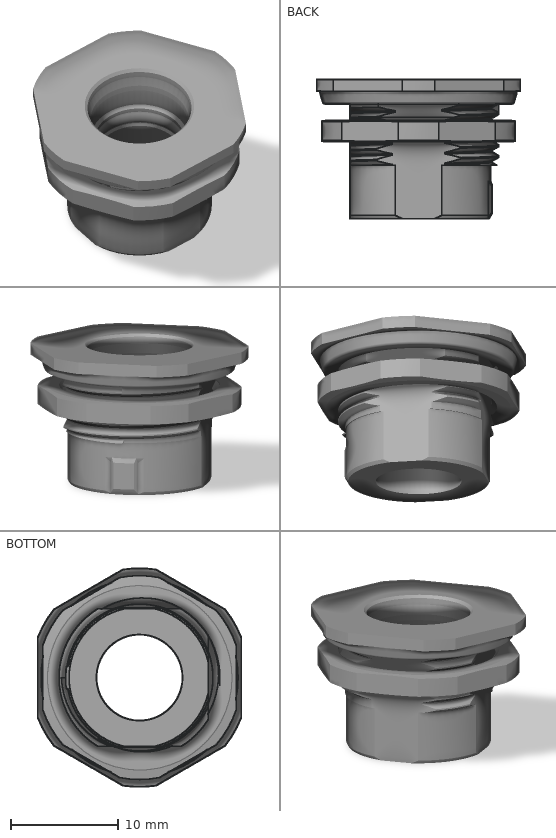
import cadquery as cq
import math


TOTAL_HEIGHT = 13.0

FLANGE_THICKNESS = 1.1
FLANGE_ACROSS_FLATS = 19.0
FLANGE_CORNER_RADIUS = 10.2
FLANGE_BOTTOM = TOTAL_HEIGHT - FLANGE_THICKNESS

BARREL_RADIUS = 6.75
BARREL_HEIGHT = 5.0
END_RADIUS = 6.565
END_CONE_SLOPE = math.tan(math.radians(30))

PITCH = 1.0
CREST_RADIUS = 7.5
SHARP_HEIGHT = PITCH * math.sqrt(3) / 2
THREAD_DEPTH = SHARP_HEIGHT * 3 / 4
ROOT_RADIUS = CREST_RADIUS - THREAD_DEPTH
CREST_WIDTH = PITCH / 8
FLANK_SLOPE = math.tan(math.radians(30))
ROOT_WIDTH = PITCH - CREST_WIDTH - 2 * THREAD_DEPTH * FLANK_SLOPE
GROOVE_OVERSHOOT = 0.05
GROOVE_END_ANGLE = 180
GROOVE_END_HEIGHT = 10.31
GROOVE_TURNS = 6

RELIEF_TURNS = 0.5
RELIEF_END_ANGLE = GROOVE_END_ANGLE + 360 * RELIEF_TURNS
RELIEF_END_HEIGHT = GROOVE_END_HEIGHT - (GROOVE_TURNS - 1 - RELIEF_TURNS) * PITCH

FLAT_DISTANCE = 6.4
NECK_FLAT_DISTANCE = 6.5
NECK_FLAT_BOTTOM = 9.45

KEY_TOP = 3.5
KEY_TAPER_HEIGHT = 0.43
KEY_RADIUS = 6.9
KEY_BASE_HALF_WIDTH = 1.32
RECESS_HALF_WIDTH = 1.84
RECESS_FLAT = math.sqrt(BARREL_RADIUS**2 - RECESS_HALF_WIDTH**2)
RECESS_TAPER_DEPTH = 0.13

BORE_MOUTH_RADIUS = 5.1
BORE_MOUTH_CHAMFER = 0.25
BORE_CONE_TOP_RADIUS = 4.81
BORE_CONE_TOP = 12.15
BORE_CONE_BOTTOM_RADIUS = 4.57
BORE_CONE_BOTTOM = 11.26
UPPER_BORE_RADIUS = 4.52
UPPER_BORE_TOP = 10.7
UPPER_BORE_BOTTOM = 8.9
SEAT_RADIUS = 4.2
SEAT_TOP = 8.68
LIP_TOP = 8.27
LIP_BOTTOM = 6.97
SEAT_BOTTOM = 6.85
THROUGH_RADIUS = 4.0

GASKET_HEIGHT = 1.2
GASKET_TOP_RADIUS = 9.24
GASKET_BOTTOM_RADIUS = 8.88
GASKET_TOP_FILLET = 0.13
GASKET_BOTTOM_FILLET = 0.25
GASKET_BOTTOM = FLANGE_BOTTOM - GASKET_HEIGHT

NUT_THICKNESS = 2.0
NUT_BOTTOM = 7.17
NUT_ACROSS_FLATS = 18.0
NUT_CORNER_RADIUS = 9.5
NUT_FACE_RADIUS = 8.6
NUT_CHAMFER_HEIGHT = 0.13


def cylinder(radius, bottom, top):
    return cq.Workplane("XY").workplane(offset=bottom).circle(radius).extrude(top - bottom)


def hexagon(across_flats, bottom, top):
    """Hexagonal prism with two of its sides facing +X and -X."""
    across_corners = across_flats / math.cos(math.radians(30))
    prism = cq.Workplane("XY").polygon(6, across_corners).extrude(top - bottom)
    return prism.rotate((0, 0, 0), (0, 0, 1), 30).translate((0, 0, bottom))


def revolved(profile_points):
    """Solid of revolution about Z from (radius, height) points."""
    return cq.Workplane("XZ").polyline(profile_points).close().revolve(360, (0, 0), (0, 1))


def thread_groove(end_angle, end_height, turns, extra_width=0.0):
    """Helical cutter ending at a given angle and height, its root widened downwards if asked."""
    outer_radius = CREST_RADIUS + GROOVE_OVERSHOOT
    root_half = ROOT_WIDTH / 2
    outer_half = root_half + (outer_radius - ROOT_RADIUS) * FLANK_SLOPE
    profile = cq.Workplane("XZ").polyline(
        [
            (ROOT_RADIUS, root_half),
            (outer_radius, outer_half),
            (outer_radius, -outer_half - extra_width),
            (ROOT_RADIUS, -root_half - extra_width),
        ]
    ).close()
    path = cq.Wire.makeHelix(PITCH, turns * PITCH, ROOT_RADIUS)
    cutter = profile.sweep(cq.Workplane(obj=path), isFrenet=True)
    start_angle = end_angle - 360 * turns
    start_height = end_height - turns * PITCH
    return cutter.rotate((0, 0, 0), (0, 0, 1), start_angle).translate((0, 0, start_height))


def make_threaded_rod():
    """Full round thread from the barrel up to the flange."""
    rod = cylinder(CREST_RADIUS, BARREL_HEIGHT, FLANGE_BOTTOM)
    rod = rod.cut(thread_groove(RELIEF_END_ANGLE, RELIEF_END_HEIGHT, RELIEF_TURNS, PITCH))
    return rod.cut(thread_groove(GROOVE_END_ANGLE, GROOVE_END_HEIGHT, GROOVE_TURNS))


def flats_envelope():
    """Space left by the flats: open towards -X, narrower below the neck."""
    reach = 2 * CREST_RADIUS

    def block(half_width, bottom, top):
        box = cq.Workplane("XY").box(reach, 2 * half_width, top - bottom, centered=(False, True, False))
        return box.translate((FLAT_DISTANCE - reach, 0, bottom))

    lower = block(FLAT_DISTANCE, 0, NECK_FLAT_BOTTOM)
    return lower.union(block(NECK_FLAT_DISTANCE, NECK_FLAT_BOTTOM, FLANGE_BOTTOM))


def add_key(barrel):
    """Cut the recess into the -X side of the barrel and leave the rib standing in it."""
    width = 2 * RECESS_HALF_WIDTH
    pocket = (
        cq.Workplane("XY")
        .box(KEY_RADIUS, width, KEY_TOP, centered=(False, True, False))
        .translate((-RECESS_FLAT - KEY_RADIUS, 0, 0))
    )
    taper_bottom = KEY_TOP - KEY_TAPER_HEIGHT
    run_out = revolved(
        [
            (0, taper_bottom),
            (BARREL_RADIUS - RECESS_TAPER_DEPTH, taper_bottom),
            (BARREL_RADIUS, KEY_TOP),
            (0, KEY_TOP),
        ]
    )
    recess = pocket.cut(run_out)

    side_rise = KEY_RADIUS - RECESS_FLAT
    rib_wedge = (
        cq.Workplane("XY")
        .polyline(
            [
                (0, -KEY_BASE_HALF_WIDTH),
                (-RECESS_FLAT, -KEY_BASE_HALF_WIDTH),
                (-KEY_RADIUS, -KEY_BASE_HALF_WIDTH + side_rise),
                (-KEY_RADIUS, KEY_BASE_HALF_WIDTH - side_rise),
                (-RECESS_FLAT, KEY_BASE_HALF_WIDTH),
                (0, KEY_BASE_HALF_WIDTH),
            ]
        )
        .close()
        .extrude(KEY_TOP)
    )
    rib_envelope = revolved(
        [(0, 0), (KEY_RADIUS, 0), (KEY_RADIUS, taper_bottom), (BARREL_RADIUS, KEY_TOP), (0, KEY_TOP)]
    )
    return barrel.cut(recess).union(rib_wedge.intersect(rib_envelope))


def make_barrel():
    """Plain lower barrel with its key, turned to a cone at the open end."""
    barrel = add_key(cylinder(BARREL_RADIUS, 0, BARREL_HEIGHT))
    cone_height = (CREST_RADIUS - END_RADIUS) / END_CONE_SLOPE
    end_cone = revolved(
        [
            (0, 0),
            (END_RADIUS, 0),
            (CREST_RADIUS, cone_height),
            (CREST_RADIUS, BARREL_HEIGHT),
            (0, BARREL_HEIGHT),
        ]
    )
    return barrel.intersect(end_cone)


def make_bore():
    """Stepped bore with a rounded sealing lip and a narrower through hole below it."""
    lip_middle = (LIP_TOP + LIP_BOTTOM) / 2
    return (
        cq.Workplane("XZ")
        .moveTo(0, TOTAL_HEIGHT)
        .lineTo(BORE_MOUTH_RADIUS, TOTAL_HEIGHT)
        .lineTo(BORE_MOUTH_RADIUS - BORE_MOUTH_CHAMFER, TOTAL_HEIGHT - BORE_MOUTH_CHAMFER)
        .lineTo(BORE_CONE_TOP_RADIUS, BORE_CONE_TOP)
        .lineTo(BORE_CONE_BOTTOM_RADIUS, BORE_CONE_BOTTOM)
        .lineTo(UPPER_BORE_RADIUS, UPPER_BORE_TOP)
        .lineTo(UPPER_BORE_RADIUS, UPPER_BORE_BOTTOM)
        .lineTo(SEAT_RADIUS, SEAT_TOP)
        .lineTo(SEAT_RADIUS, LIP_TOP)
        .threePointArc((THROUGH_RADIUS, lip_middle), (SEAT_RADIUS, LIP_BOTTOM))
        .lineTo(SEAT_RADIUS, SEAT_BOTTOM)
        .lineTo(THROUGH_RADIUS, SEAT_BOTTOM - (SEAT_RADIUS - THROUGH_RADIUS))
        .lineTo(THROUGH_RADIUS, 0)
        .lineTo(0, 0)
        .close()
        .revolve(360, (0, 0), (0, 1))
    )


def make_housing(threaded_rod):
    shank = make_barrel().union(threaded_rod).intersect(flats_envelope())
    flange = hexagon(FLANGE_ACROSS_FLATS, FLANGE_BOTTOM, TOTAL_HEIGHT)
    flange = flange.intersect(cylinder(FLANGE_CORNER_RADIUS, FLANGE_BOTTOM, TOTAL_HEIGHT))
    return shank.union(flange).cut(make_bore())


def make_gasket():
    """Conical sealing ring, wider under the flange, with rounded outer edges."""
    ring = revolved(
        [
            (CREST_RADIUS, GASKET_BOTTOM),
            (GASKET_BOTTOM_RADIUS, GASKET_BOTTOM),
            (GASKET_TOP_RADIUS, FLANGE_BOTTOM),
            (CREST_RADIUS, FLANGE_BOTTOM),
        ]
    )
    outer_edge = cq.selectors.RadiusNthSelector(-1)
    ring = ring.faces(">Z").edges(outer_edge).fillet(GASKET_TOP_FILLET)
    return ring.faces("<Z").edges(outer_edge).fillet(GASKET_BOTTOM_FILLET)


def make_nut(threaded_rod):
    """Hexagonal lock nut with turned corners and a countersunk, matching internal thread."""
    top = NUT_BOTTOM + NUT_THICKNESS
    turned = revolved(
        [
            (0, NUT_BOTTOM),
            (NUT_FACE_RADIUS, NUT_BOTTOM),
            (NUT_CORNER_RADIUS, NUT_BOTTOM + NUT_CHAMFER_HEIGHT),
            (NUT_CORNER_RADIUS, top - NUT_CHAMFER_HEIGHT),
            (NUT_FACE_RADIUS, top),
            (0, top),
        ]
    )
    nut = hexagon(NUT_ACROSS_FLATS, NUT_BOTTOM, top).intersect(turned)
    countersink_bottom = top - THREAD_DEPTH
    countersink = revolved(
        [
            (0, top),
            (CREST_RADIUS, top),
            (ROOT_RADIUS, countersink_bottom),
            (0, countersink_bottom),
        ]
    )
    return nut.cut(countersink).cut(threaded_rod)


threaded_rod = make_threaded_rod()
housing = make_housing(threaded_rod)
gasket = make_gasket()
nut = make_nut(threaded_rod)

result = cq.Compound.makeCompound([housing.val(), gasket.val(), nut.val()])